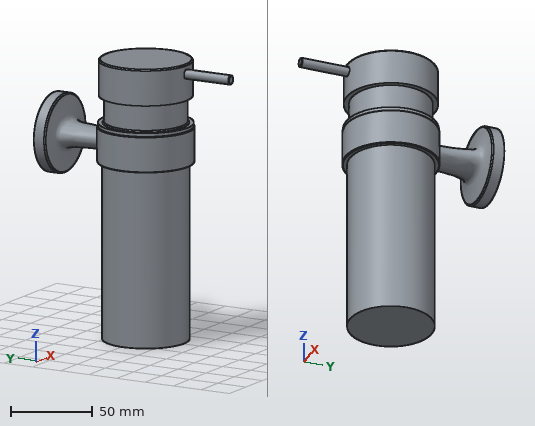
import cadquery as cq
import math


total_height = 176.5
cap_height = 23.0
neck_bottom_z = 136.4
ring_top_z = 134.3
ring_bottom_z = 111.5

bottle_diameter = 54.0
ring_diameter = 60.0
collar_diameter = 59.1
neck_diameter = 51.7
cap_diameter = 58.0

ring_chamfer = 0.5
neck_foot_chamfer = 0.9
cap_chamfer = 0.9
spout_chamfer = 0.5
plate_chamfer = 0.9

spout_diameter = 6.0
spout_drop = 6.2
spout_reach = 60.7

wall_y = 65.1
plate_diameter = 50.1
plate_thickness = 8.1
arm_start_y = 25.5
arm_station_count = 12
arm_station_crowding = 3
arm_axis_z = (ring_top_z + ring_bottom_z) / 2
plate_front_y = wall_y - plate_thickness
arm_length = plate_front_y - arm_start_y

arm_foot_radius = plate_diameter / 2 - plate_chamfer
arm_half_width = 9.5
width_flare = 6.4
width_flare_length = 12.3
width_edge_length = 0.9
arm_half_height = 6.2
height_slope = 0.06
height_edge_length = 1.2


def cylinder(diameter, bottom_z, top_z):
    """Upright cylinder on the bottle axis."""
    return cq.Workplane("XY").workplane(offset=bottom_z).circle(diameter / 2).extrude(top_z - bottom_z)


def arm_half_sizes(gap):
    """Half width and half height of the arm at a given gap from the plate; never taller than wide."""
    width_edge = arm_foot_radius - arm_half_width - width_flare
    half_width = (
        arm_half_width
        + width_flare * math.exp(-gap / width_flare_length)
        + width_edge * math.exp(-gap / width_edge_length)
    )
    taper = height_slope * (arm_length - gap)
    height_edge = arm_foot_radius - arm_half_height - height_slope * arm_length
    half_height = arm_half_height + taper + height_edge * math.exp(-gap / height_edge_length)
    return half_width, min(half_height, half_width)


def make_arm():
    """Flared arm lofted from the plate to the ring, with stations crowded near the plate."""
    sections = []
    for i in range(arm_station_count + 1):
        gap = arm_length * (i / arm_station_count) ** arm_station_crowding
        half_width, half_height = arm_half_sizes(gap)
        center = cq.Vector(0, plate_front_y - gap, arm_axis_z)
        section = cq.Wire.makeEllipse(
            half_width, half_height, center, cq.Vector(0, -1, 0), cq.Vector(1, 0, 0)
        )
        sections.append(section)
    return cq.Workplane(cq.Solid.makeLoft(sections))


def make_holder():
    """Wall plate, arm and the ring that carries the bottle."""
    plate = (
        cq.Workplane("XZ", origin=(0, wall_y, arm_axis_z))
        .circle(plate_diameter / 2)
        .extrude(plate_thickness)
        .faces("<Y")
        .chamfer(plate_chamfer)
    )
    ring = cylinder(ring_diameter, ring_bottom_z, ring_top_z).faces("|Z").edges().chamfer(ring_chamfer)
    bore = cylinder(bottle_diameter, ring_bottom_z, ring_top_z)
    return plate.union(make_arm()).union(ring).cut(bore)


def make_bottle():
    """Plain cylindrical bottle, held by the ring and level with its top."""
    return cylinder(bottle_diameter, 0, ring_top_z)


def make_pump():
    """Collar, neck, cap and spout of the pump, seated on the bottle and ring."""
    cap_bottom_z = total_height - cap_height
    collar = cylinder(collar_diameter, ring_top_z, neck_bottom_z)
    neck = cylinder(neck_diameter, neck_bottom_z, cap_bottom_z)
    foot = cq.Workplane(
        cq.Solid.makeCone(
            neck_diameter / 2 + neck_foot_chamfer,
            neck_diameter / 2,
            neck_foot_chamfer,
            pnt=cq.Vector(0, 0, neck_bottom_z),
        )
    )
    cap = cylinder(cap_diameter, cap_bottom_z, total_height).faces(">Z").chamfer(cap_chamfer)
    spout = (
        cq.Workplane("XZ", origin=(0, 0, total_height - spout_drop))
        .circle(spout_diameter / 2)
        .extrude(spout_reach)
        .faces("<Y")
        .chamfer(spout_chamfer)
    )
    return collar.union(foot).union(neck).union(cap).union(spout)


holder = make_holder()
bottle = make_bottle()
pump = make_pump()

result = cq.Compound.makeCompound([holder.val(), bottle.val(), pump.val()])